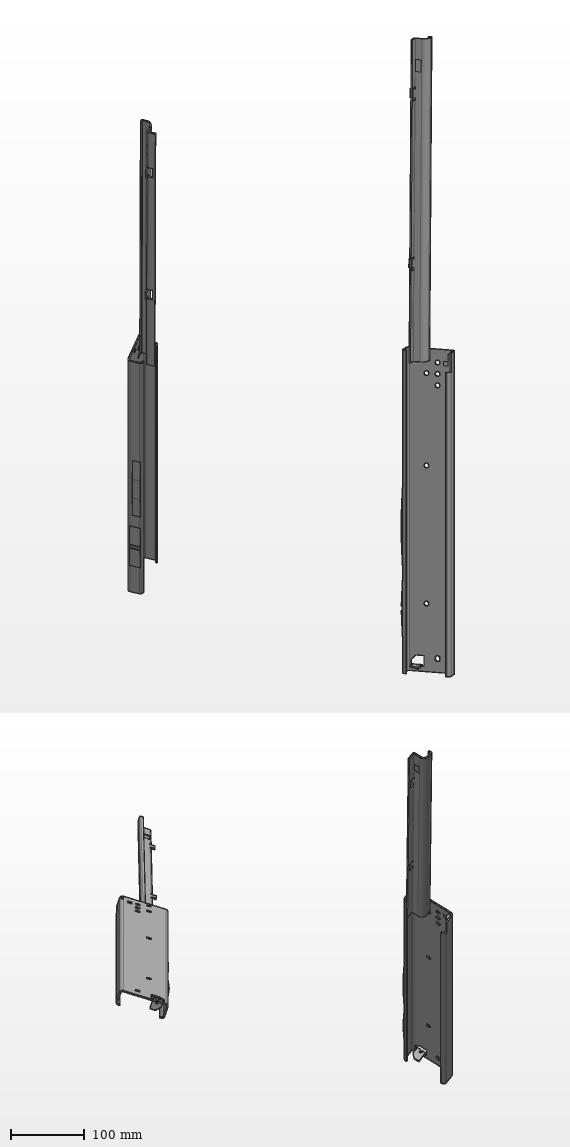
import cadquery as cq

total_height = 885.0
total_width = 71.0
member_length = 450.0

pad_thickness = 2.0
channel_width = total_width - pad_thickness
channel_depth = 22.0
channel_sheet = 2.2
channel_bend = 4.0
lip_length = 6.0
relief_length = 26.5
relief_start_x = 16.0

hole_diameter = 6.6
upper_row_y = 44.0
lower_row_y = 28.0
upper_row_z = (399.0, 415.0, 431.0)
lower_row_z = (95.0, 287.0, 415.0)
small_hole_diameter = 5.75
small_hole_z = 442.0
slot_z = 19.5
slot_length = 8.0

square_dimple_y = 56.0
square_dimple_z = 430.0
square_dimple_side = 6.0
dimple_depth = 1.0

stop_width = 8.0
stop_height = 7.0
stop_reach = 8.0
stop_top = 444.0
stop_dent_depth = 1.3

window_y = (6.0, 25.0)
window_z = (7.0, 22.0)
window_chamfer = 7.0
tab_y = (8.0, 22.0)
tab_reach = 16.0
tab_chamfer = 6.0
gusset_size = 4.0
gusset_width = 3.0
gusset_y = 16.0

rail_sheet = 2.2
rail_height = 21.0
rail_flange_y = 18.0
rail_tilt = 0.4
leg_x = 8.0
leg_length = 5.0
leg_bend = 2.0
inner_wall_x = 22.0
wall_x = inner_wall_x + rail_sheet
inner_shoulder_radius = 7.0
flange_end_x = 34.5
flange_bend = 3.0

lug_drops = (77.0, 313.0)
lug_height = 12.0
lug_length = 4.7
lug_window_height = 18.0
lug_window_end_x = 31.0

catch_drop = 38.0
catch_height = 17.0
catch_y = (3.0, 11.0)
catch_depth = 1.3

pad_foot = 0.2
pad_end_x = 19.5
pad_root = 2.0
ramp_length = 35.0
long_pad_bottom = 150.5
long_pad_flat = 36.0
long_pad_x = 8.0
short_pad_bottom = 51.0
short_pad_groove = 6.0
short_pad_x = 3.9


def block(x_range, y_range, z_range):
    """Axis-aligned box between the given limits."""
    size = [high - low for low, high in (x_range, y_range, z_range)]
    corner = (x_range[0], y_range[0], z_range[0])
    return cq.Workplane("XY").box(*size, centered=False).translate(corner)


def around(middle, length):
    """Limits of a length centred on a middle value."""
    return (middle - length / 2, middle + length / 2)


def web_holes(points, diameter):
    """Cylinders through the channel web at (y, z) points."""
    return cq.Workplane("YZ").pushPoints(points).circle(diameter / 2).extrude(channel_sheet)


def channel_shell():
    """C-section with rounded bends and two short lips."""
    height = (0, member_length)
    inner_depth = (channel_sheet, channel_depth - channel_sheet)
    inner_width = (channel_sheet, channel_width - channel_sheet)
    outer = block((0, channel_depth), (0, channel_width), height).edges("|Z").fillet(channel_bend)
    inner = block(inner_depth, inner_width, height).edges("|Z").fillet(channel_bend - channel_sheet)
    mouth = block((channel_depth / 2, channel_depth), (lip_length, channel_width - lip_length), height)
    return outer.cut(inner).cut(mouth)


def cut_lip_relief(channel):
    """Removes the upper lip next to the top end, leaving a narrower flange there."""
    relief = block(
        (relief_start_x, channel_depth),
        (channel_width / 2, channel_width),
        (member_length - relief_length, member_length),
    )
    return channel.cut(relief)


def cut_web_openings(channel):
    """Screw holes, one slot and the square dimple."""
    points = [(upper_row_y, z) for z in upper_row_z] + [(lower_row_y, z) for z in lower_row_z]
    channel = channel.cut(web_holes(points, hole_diameter))
    channel = channel.cut(web_holes([(lower_row_y, small_hole_z)], small_hole_diameter))
    slot = (
        cq.Workplane("YZ")
        .center(upper_row_y, slot_z)
        .slot2D(slot_length, hole_diameter, 90)
        .extrude(channel_sheet)
    )
    dimple = block(
        (0, dimple_depth),
        around(square_dimple_y, square_dimple_side),
        around(square_dimple_z, square_dimple_side),
    )
    return channel.cut(slot).cut(dimple)


def add_corner_stop(channel):
    """Stop pressed into the upper bend at the top end, with its dent outside."""
    y_range = (channel_width - stop_width, channel_width - channel_sheet)
    z_range = (stop_top - stop_height, stop_top)
    stop = block((channel_sheet, stop_reach), y_range, z_range)
    dent = block((0, stop_dent_depth), (channel_width - channel_bend, channel_width), z_range)
    return channel.union(stop).cut(dent)


def add_bent_tab(channel):
    """Window near the bottom end, with the tab folded inward from its lower edge."""
    window = block((0, channel_sheet), window_y, window_z)
    window = window.edges("|X and >Z and <Y").chamfer(window_chamfer)
    tab_bottom = window_z[0]
    tab_top = tab_bottom + channel_sheet
    tab = block((0, tab_reach), tab_y, (tab_bottom, tab_top))
    tab = tab.edges("|Z and >X and <Y").chamfer(tab_chamfer)
    gusset = (
        cq.Workplane("XZ", origin=(0, gusset_y + gusset_width / 2, 0))
        .moveTo(channel_sheet, tab_bottom)
        .lineTo(channel_sheet + gusset_size, tab_bottom)
        .lineTo(channel_sheet, tab_bottom - gusset_size)
        .close()
        .extrude(gusset_width)
    )
    dent = (
        cq.Workplane("XZ", origin=(0, gusset_y + gusset_width / 2, 0))
        .moveTo(0, tab_top)
        .lineTo(gusset_size, tab_top)
        .lineTo(0, tab_top - gusset_size)
        .close()
        .extrude(gusset_width)
    )
    return channel.cut(window).union(tab).union(gusset).cut(dent)


def make_channel():
    channel = cut_lip_relief(channel_shell())
    channel = cut_web_openings(channel)
    channel = add_corner_stop(channel)
    return add_bent_tab(channel)


def rail_profile():
    """Hat-shaped section with a flange: leg, hat top, shoulder, wall and flange.

    Y = 0 is the outer face of the flange.
    """
    top = rail_height
    shoulder_x = inner_wall_x - inner_shoulder_radius
    shoulder_y = top - rail_sheet - inner_shoulder_radius
    inner_bend = flange_bend - rail_sheet
    return (
        cq.Workplane("XY")
        .moveTo(leg_x, top - leg_length)
        .lineTo(leg_x, top - leg_bend)
        .tangentArcPoint((leg_x + leg_bend, top), relative=False)
        .lineTo(shoulder_x, top)
        .tangentArcPoint((wall_x, shoulder_y), relative=False)
        .lineTo(wall_x, flange_bend)
        .tangentArcPoint((wall_x + inner_bend, rail_sheet), relative=False)
        .lineTo(flange_end_x, rail_sheet)
        .lineTo(flange_end_x, 0)
        .lineTo(inner_wall_x + flange_bend, 0)
        .tangentArcPoint((inner_wall_x, flange_bend), relative=False)
        .lineTo(inner_wall_x, shoulder_y)
        .tangentArcPoint((shoulder_x, top - rail_sheet), relative=False)
        .lineTo(leg_x + rail_sheet, top - rail_sheet)
        .lineTo(leg_x + rail_sheet, top - leg_length)
        .close()
    )


def add_lug(rail, drop):
    """Straight lug left standing in the wall plane, with its window in the flange."""
    window = block(
        (inner_wall_x, lug_window_end_x), (0, flange_bend), around(-drop, lug_window_height)
    )
    lug = block((inner_wall_x, wall_x), (-lug_length, flange_bend), around(-drop, lug_height))
    return rail.cut(window).union(lug)


def make_rail():
    """Rail built downward from its top end, then tilted and lifted into place."""
    rail = rail_profile().extrude(-member_length)
    for drop in lug_drops:
        rail = add_lug(rail, drop)
    catch = block(
        (inner_wall_x, inner_wall_x + catch_depth), catch_y, around(-catch_drop, catch_height)
    )
    rail = rail.cut(catch)
    rail = rail.rotate((0, 0, 0), (1, 0, 0), -rail_tilt)
    return rail.translate((0, rail_flange_y, total_height))


def make_pad(outline, start_x, channel):
    """Pad of a (y, z) outline lying on the lower flange and fitted to its bend."""
    pad = cq.Workplane("YZ", origin=(start_x, 0, 0)).polyline(outline).close()
    return pad.extrude(pad_end_x - start_x).cut(channel)


def make_long_pad(channel):
    """Pad with a ramp at each end and a flat middle."""
    flat_bottom = long_pad_bottom + ramp_length
    flat_top = flat_bottom + long_pad_flat
    top = flat_top + ramp_length
    outline = [
        (0, long_pad_bottom),
        (-pad_foot, long_pad_bottom),
        (-pad_thickness, flat_bottom),
        (-pad_thickness, flat_top),
        (-pad_foot, top),
        (0, top),
    ]
    return make_pad(outline, long_pad_x, channel)


def make_short_pad(channel):
    """Pad with two ramps that rise toward a groove in the middle."""
    groove_bottom = short_pad_bottom + ramp_length
    groove_top = groove_bottom + short_pad_groove
    top = groove_top + ramp_length
    outline = [
        (pad_root, short_pad_bottom),
        (-pad_foot, short_pad_bottom),
        (-pad_thickness, groove_bottom),
        (-pad_foot, groove_bottom),
        (-pad_foot, groove_top),
        (-pad_thickness, groove_top),
        (-pad_foot, top),
        (pad_root, top),
    ]
    return make_pad(outline, short_pad_x, channel)


channel = make_channel()
rail = make_rail()
long_pad = make_long_pad(channel)
short_pad = make_short_pad(channel)

result = cq.Compound.makeCompound([channel.val(), rail.val(), long_pad.val(), short_pad.val()])